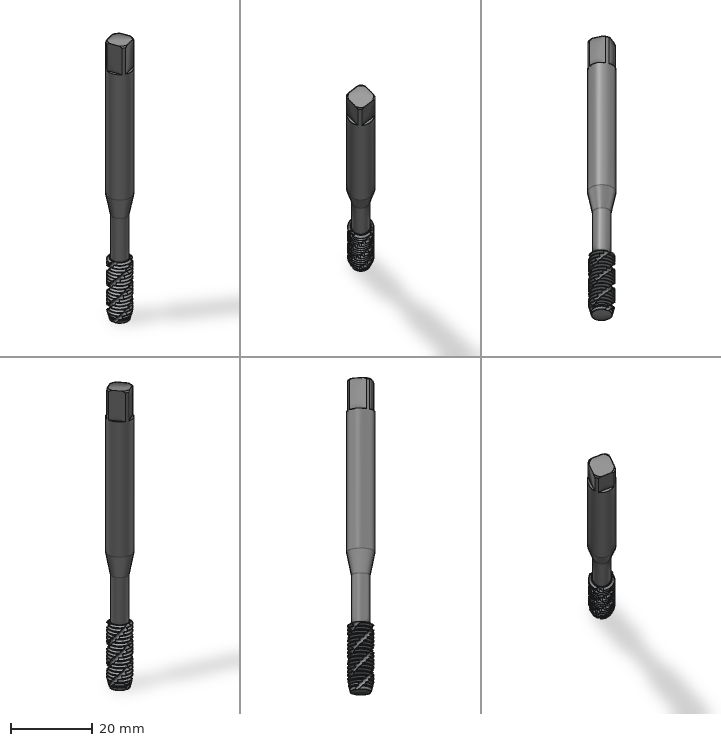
import cadquery as cq
import math

TOTAL_LENGTH = 80.0
SQUARE_LENGTH = 8.0
CONE_TOP = 36.0
CONE_BOTTOM = 30.0
HEAD_LENGTH = 17.4
SQUARE_BOTTOM = TOTAL_LENGTH - SQUARE_LENGTH

SHANK_RADIUS = 7.0 / 2
NECK_RADIUS = 4.6 / 2
SQUARE_WIDTH = 5.6
END_CHAMFER = 0.4

TOOTH_COUNT = 18
TOOTH_PITCH = HEAD_LENGTH / TOOTH_COUNT
CREST_RADIUS = 6.5 / 2
ROOT_RADIUS = 5.1 / 2
CREST_FLAT = 0.2
ROOT_FLAT = 0.2

LEAD_LENGTH = 2.6

FLUTE_COUNT = 3
FLUTE_LEAD = 16.8
FLUTE_RADIUS = 1.0
FLUTE_FLOOR_RADIUS = 2.4
FLUTE_START_ANGLE = 20.0


def revolve_profile(points):
    """Turn a closed (radius, height) outline about the Z axis, starting from the -Y side."""
    outline = [(-radius, height) for radius, height in points]
    return cq.Workplane("YZ").polyline(outline).close().revolve(360, (0, 0), (0, 1))


def make_shank():
    """Round shank with a square drive on top and a thinner neck below a cone."""
    shank = revolve_profile([
        (0, HEAD_LENGTH),
        (NECK_RADIUS, HEAD_LENGTH),
        (NECK_RADIUS, CONE_BOTTOM),
        (SHANK_RADIUS, CONE_TOP),
        (SHANK_RADIUS, TOTAL_LENGTH - END_CHAMFER),
        (SHANK_RADIUS - END_CHAMFER, TOTAL_LENGTH),
        (0, TOTAL_LENGTH),
    ])
    clearance_width = 3 * SHANK_RADIUS
    flats = (
        cq.Workplane("XY", origin=(0, 0, SQUARE_BOTTOM))
        .rect(clearance_width, clearance_width)
        .rect(SQUARE_WIDTH, SQUARE_WIDTH)
        .extrude(SQUARE_LENGTH)
    )
    return shank.cut(flats)


def make_toothed_blank():
    """Core with annular trapezoidal teeth, full height along its whole length."""
    flank_height = (TOOTH_PITCH - CREST_FLAT - ROOT_FLAT) / 2
    points = [(0, 0), (ROOT_RADIUS, 0)]
    for tooth in range(TOOTH_COUNT):
        lower_root = tooth * TOOTH_PITCH + ROOT_FLAT / 2
        lower_crest = lower_root + flank_height
        upper_crest = lower_crest + CREST_FLAT
        points += [
            (ROOT_RADIUS, lower_root),
            (CREST_RADIUS, lower_crest),
            (CREST_RADIUS, upper_crest),
            (ROOT_RADIUS, upper_crest + flank_height),
        ]
    points += [(ROOT_RADIUS, HEAD_LENGTH), (0, HEAD_LENGTH)]
    return revolve_profile(points)


def make_lead_envelope():
    """Cylinder with a tapered tip that limits the tooth height along the lead."""
    return revolve_profile([
        (0, 0),
        (ROOT_RADIUS, 0),
        (CREST_RADIUS, LEAD_LENGTH),
        (CREST_RADIUS, HEAD_LENGTH),
        (0, HEAD_LENGTH),
    ])


def make_flute_cutter(start_angle):
    """Round groove winding right-handed up the whole head."""
    centre_distance = FLUTE_FLOOR_RADIUS + FLUTE_RADIUS
    angle = math.radians(start_angle)
    return (
        cq.Workplane("XY")
        .pushPoints([(centre_distance * math.cos(angle), centre_distance * math.sin(angle))])
        .circle(FLUTE_RADIUS)
        .twistExtrude(HEAD_LENGTH, 360 * HEAD_LENGTH / FLUTE_LEAD)
    )


def make_head():
    """Threaded cutting head with a tapered lead and helical flutes."""
    head = make_toothed_blank().intersect(make_lead_envelope())
    for flute in range(FLUTE_COUNT):
        head = head.cut(make_flute_cutter(FLUTE_START_ANGLE + flute * 360 / FLUTE_COUNT))
    return head


shank = make_shank()
head = make_head()

result = cq.Compound.makeCompound([shank.val(), head.val()])